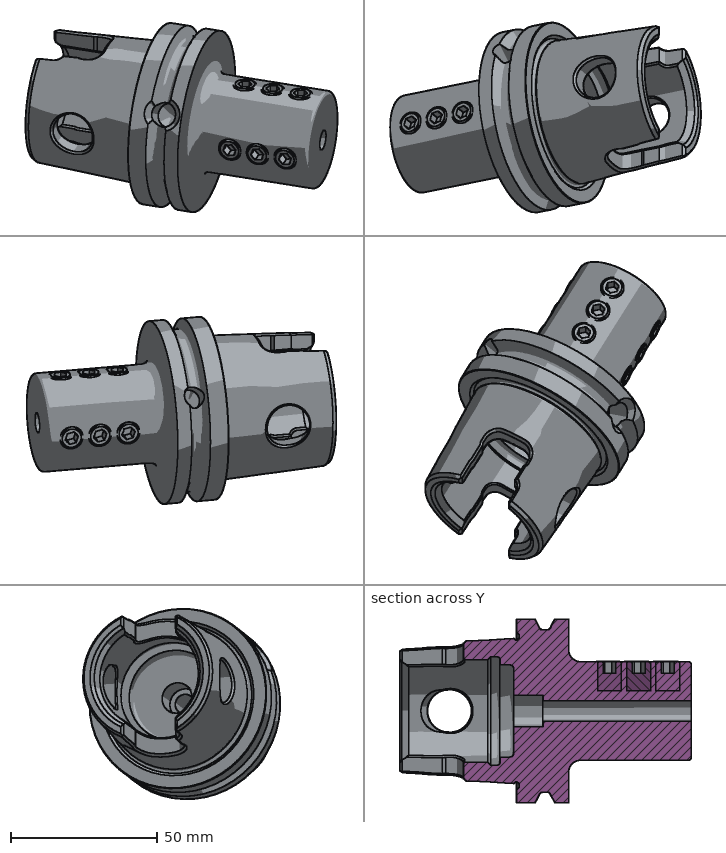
import cadquery as cq
import math

total_length = 99.95
flange_start = 40.0
flange_end = 58.0
flange_radius = 31.5
nose_radius = 17.0
nose_fillet = 4.0
nose_end_fillet = 1.1
flange_edge_chamfer = 0.2

shank_root_radius = 25.0
shank_taper = 0.05
shank_end_bevel_length = 1.4
shank_end_bevel_height = 0.8

relief_outer_radius = 27.0
relief_depth = 1.0
relief_floor = flange_start + relief_depth
relief_inner_radius = 24.4
relief_corner_radius = 1.2
shank_land_start = 38.6
shank_land_end = 39.2

groove_start = 46.5
groove_end = 53.1
groove_floor_radius = 27.9
groove_wall_angle = 26.5
groove_corner_fillet = 1.0

bore_radius = 17.5
bore_lead_in_radius = 18.8
bore_mouth_radius = 20.1
mouth_bevel_length = 0.7
lead_in_end = 3.1
undercut_start = 30.3
undercut_end = 34.4
undercut_depth = 1.0
pilot_radius = 15.7
pilot_floor = 39.1
pilot_corner_fillet = 1.3
center_counterbore_radius = 5.3
center_counterbore_depth = 10.0
center_hole_radius = 3.4

slot_end = 21.9
slot_corner_radius = 4.3
slot_relief_half_width = 8.4
slot_lead_half_width = 8.3
slot_land_half_width = 8.0
slot_mouth_half_width = 10.0
slot_mouth_length = 6.0
slot_mouth_radius = 3.0
slot_lead_length = 7.4
slot_ramp_length = 1.1
slot_land_end = 14.7
slot_relief_start = slot_land_end + slot_ramp_length
slot_bevel = 0.9
inner_bevel = 0.5

cross_hole_x = 17.4
cross_hole_radius = 7.25
cross_hole_bevel = 0.8
flare_tilt = 22.0
flare_length = 12.0

radial_hole_x = 51.0
radial_hole_tilt = 30.0
radial_hole_floor = 21.3
drill_tip_angle = 118.0
large_hole_radius = 4.25
large_sink_radius = 6.3
small_hole_radius = 3.65

screw_stations = (71.9, 81.9, 91.9)
screw_directions = (0.0, 90.0, 180.0)
screw_radius = 4.0
screw_face_radius = 3.35
screw_bevel_height = 0.45
screw_length = 10.0
socket_width = 4.0
socket_depth = 4.0
socket_turn = 12.0

EDGE_SAMPLES = (0.1, 0.3, 0.5, 0.7, 0.9)
EDGE_TOLERANCE = 0.02


def shank_radius(x):
    return shank_root_radius - shank_taper * (flange_start - x)


def revolve_about_x(profile):
    return profile.close().revolve(360, (0, 0, 0), (1, 0, 0))


def radial_tool(x, angle, profile_points):
    """Turn (radius, distance from the X axis) points into a solid on a radial axis."""
    turned = cq.Workplane("XZ").polyline(profile_points).close().revolve(360, (0, 0, 0), (0, 1, 0))
    return turned.rotate((0, 0, 0), (1, 0, 0), angle - 90).translate((x, 0, 0))


def shank_cone():
    land_radius = shank_radius(shank_land_start)
    step_end = shank_land_end + land_radius - relief_inner_radius
    profile = (
        cq.Workplane("XY")
        .moveTo(0, 0)
        .lineTo(0, shank_radius(0))
        .lineTo(shank_land_start, land_radius)
        .lineTo(shank_land_end, land_radius)
        .lineTo(step_end, relief_inner_radius)
        .lineTo(relief_floor - relief_corner_radius, relief_inner_radius)
        .radiusArc((relief_floor, relief_inner_radius + relief_corner_radius), -relief_corner_radius)
        .lineTo(relief_floor, 0)
    )
    return revolve_about_x(profile)


def end_bevel():
    profile = (
        cq.Workplane("XY")
        .moveTo(0, shank_radius(shank_end_bevel_length) - shank_end_bevel_height)
        .lineTo(shank_end_bevel_length, shank_radius(shank_end_bevel_length))
        .lineTo(shank_end_bevel_length, shank_root_radius)
        .lineTo(0, shank_root_radius)
    )
    return revolve_about_x(profile)


def flange_and_nose():
    profile = (
        cq.Workplane("XY")
        .moveTo(relief_floor, 0)
        .lineTo(relief_floor, relief_outer_radius - relief_depth)
        .lineTo(flange_start, relief_outer_radius)
        .lineTo(flange_start, flange_radius - flange_edge_chamfer)
        .lineTo(flange_start + flange_edge_chamfer, flange_radius)
        .lineTo(flange_end, flange_radius)
        .lineTo(flange_end, nose_radius + nose_fillet)
        .radiusArc((flange_end + nose_fillet, nose_radius), -nose_fillet)
        .lineTo(total_length - nose_end_fillet, nose_radius)
        .radiusArc((total_length, nose_radius - nose_end_fillet), nose_end_fillet)
        .lineTo(total_length, 0)
    )
    return revolve_about_x(profile)


def v_groove():
    wall_run = (flange_radius - groove_floor_radius) * math.tan(math.radians(groove_wall_angle))
    section = (
        cq.Workplane("XY")
        .moveTo(groove_start, flange_radius)
        .lineTo(groove_start + wall_run, groove_floor_radius)
        .lineTo(groove_end - wall_run, groove_floor_radius)
        .lineTo(groove_end, flange_radius)
    )
    ring = revolve_about_x(section)
    floor_edges = cq.selectors.RadiusNthSelector(0)
    return ring.edges("%CIRCLE").edges(floor_edges).fillet(groove_corner_fillet)


def stepped_bore():
    undercut_radius = bore_radius + undercut_depth
    profile = (
        cq.Workplane("XY")
        .moveTo(0, 0)
        .lineTo(0, bore_mouth_radius)
        .lineTo(mouth_bevel_length, bore_lead_in_radius)
        .lineTo(lead_in_end, bore_radius)
        .lineTo(undercut_start, bore_radius)
        .lineTo(undercut_start + undercut_depth, undercut_radius)
        .lineTo(undercut_end - undercut_depth, undercut_radius)
        .radiusArc((undercut_end, bore_radius), undercut_depth)
        .lineTo(undercut_end, pilot_radius)
        .lineTo(pilot_floor - pilot_corner_fillet, pilot_radius)
        .radiusArc((pilot_floor, pilot_radius - pilot_corner_fillet), pilot_corner_fillet)
        .lineTo(pilot_floor, center_counterbore_radius)
        .lineTo(pilot_floor + center_counterbore_depth, center_counterbore_radius)
        .lineTo(pilot_floor + center_counterbore_depth, center_hole_radius)
        .lineTo(total_length, center_hole_radius)
        .lineTo(total_length, 0)
    )
    return revolve_about_x(profile)


def drive_slots():
    corner_center_x = slot_end - slot_corner_radius
    corner_center_y = slot_relief_half_width - slot_corner_radius
    mouth_arc_angle = math.acos(
        1 - (slot_mouth_half_width - slot_land_half_width) / slot_mouth_radius
    )
    mouth_arc_end = slot_mouth_length + slot_mouth_radius * math.sin(mouth_arc_angle)
    outline = (
        cq.Workplane("XY")
        .moveTo(0, slot_lead_half_width)
        .lineTo(slot_lead_length, slot_lead_half_width)
        .lineTo(slot_lead_length + slot_ramp_length, slot_land_half_width)
        .lineTo(slot_land_end, slot_land_half_width)
        .lineTo(slot_relief_start, slot_relief_half_width)
        .lineTo(corner_center_x, slot_relief_half_width)
        .radiusArc((slot_end, corner_center_y), slot_corner_radius)
        .lineTo(slot_end, -corner_center_y)
        .radiusArc((corner_center_x, -slot_relief_half_width), slot_corner_radius)
        .lineTo(slot_relief_start, -slot_relief_half_width)
        .lineTo(slot_land_end, -slot_land_half_width)
        .lineTo(mouth_arc_end, -slot_land_half_width)
        .radiusArc((slot_mouth_length, -slot_mouth_half_width), slot_mouth_radius)
        .lineTo(0, -slot_mouth_half_width)
        .close()
    )
    return outline.extrude(shank_root_radius, both=True)


def slot_entry_bevels():
    return (
        cq.Workplane("XY")
        .moveTo(0, slot_lead_half_width + slot_bevel)
        .lineTo(slot_bevel, slot_lead_half_width)
        .lineTo(slot_bevel, -slot_mouth_half_width)
        .lineTo(0, -slot_mouth_half_width - slot_bevel)
        .close()
        .extrude(shank_root_radius, both=True)
    )


def cross_hole_flare(side):
    """Tilted cylinder that opens one cross hole toward the shank end, from the rim inward."""
    rim = cq.Vector(cross_hole_x, side * (shank_radius(cross_hole_x) - cross_hole_bevel), 0)
    tilt = math.radians(flare_tilt)
    inward = cq.Vector(-math.sin(tilt), -side * math.cos(tilt), 0)
    return cq.Solid.makeCylinder(cross_hole_radius, flare_length, rim, inward)


def cross_holes():
    return (
        cq.Workplane("XZ")
        .center(cross_hole_x, 0)
        .circle(cross_hole_radius)
        .extrude(shank_root_radius, both=True)
    )


def drilled_hole(angle, radius):
    tip_height = radius / math.tan(math.radians(drill_tip_angle / 2))
    return radial_tool(
        radial_hole_x,
        angle,
        [
            (0, radial_hole_floor - tip_height),
            (radius, radial_hole_floor),
            (radius, flange_radius),
            (0, flange_radius),
        ],
    )


def hole_sink(angle, rim_radius):
    return radial_tool(
        radial_hole_x,
        angle,
        [(0, flange_radius - rim_radius), (rim_radius, flange_radius), (0, flange_radius)],
    )


def screw_blank(x, angle):
    return radial_tool(
        x,
        angle,
        [
            (0, nose_radius - screw_length),
            (screw_radius, nose_radius - screw_length),
            (screw_radius, nose_radius - screw_bevel_height),
            (screw_face_radius, nose_radius),
            (0, nose_radius),
        ],
    )


def set_screw(x, angle):
    socket = (
        cq.Workplane("XY", origin=(0, 0, nose_radius - socket_depth))
        .polygon(6, socket_width / math.cos(math.pi / 6))
        .extrude(socket_depth)
        .rotate((0, 0, 0), (0, 0, 1), socket_turn)
        .rotate((0, 0, 0), (1, 0, 0), angle - 90)
        .translate((x, 0, 0))
    )
    return screw_blank(x, angle).cut(socket)


def in_slot(point):
    inside_width = abs(point.y) < slot_mouth_half_width + EDGE_TOLERANCE
    return inside_width and 0 < point.x < slot_end + EDGE_TOLERANCE


def on_cross_hole(point):
    distance = math.hypot(point.x - cross_hole_x, point.z)
    return abs(distance - cross_hole_radius) < EDGE_TOLERANCE


def rim_edges(body, wall_radius_at, belongs):
    """Edges on the round wall of radius wall_radius_at(x) whose points all belong to one opening."""
    rims = []
    for edge in body.edges().vals():
        points = edge.positions(EDGE_SAMPLES)
        on_wall = all(abs(math.hypot(p.y, p.z) - wall_radius_at(p.x)) < EDGE_TOLERANCE for p in points)
        if on_wall and all(belongs(p) for p in points):
            rims.append(edge)
    return rims


def bevel_rims(body, wall_radius_at, belongs, size):
    rims = rim_edges(body, wall_radius_at, belongs)
    return body.newObject(rims).chamfer(size)


def bore_wall_radius(x):
    return bore_radius


def make_shank():
    shank = shank_cone().cut(drive_slots()).cut(cross_holes())
    shank = bevel_rims(shank, shank_radius, in_slot, slot_bevel)
    shank = bevel_rims(shank, shank_radius, on_cross_hole, cross_hole_bevel)
    shank = shank.cut(end_bevel()).cut(stepped_bore())
    shank = bevel_rims(shank, bore_wall_radius, in_slot, inner_bevel)
    shank = bevel_rims(shank, bore_wall_radius, on_cross_hole, inner_bevel)
    shank = shank.cut(slot_entry_bevels())
    for side in (1, -1):
        shank = shank.cut(cq.Workplane(cross_hole_flare(side)))
    return shank


def make_housing(screw_places):
    collar = flange_and_nose().cut(v_groove()).cut(stepped_bore())
    collar = collar.cut(drilled_hole(180 - radial_hole_tilt, large_hole_radius))
    collar = collar.cut(hole_sink(180 - radial_hole_tilt, large_sink_radius))
    collar = collar.cut(drilled_hole(radial_hole_tilt, small_hole_radius))
    housing = collar.union(make_shank())
    for x, angle in screw_places:
        housing = housing.cut(screw_blank(x, angle))
    return housing


screw_places = [(x, angle) for angle in screw_directions for x in screw_stations]
housing = make_housing(screw_places)
set_screws = [set_screw(x, angle) for x, angle in screw_places]
result = cq.Compound.makeCompound([housing.val(), *[screw.val() for screw in set_screws]])